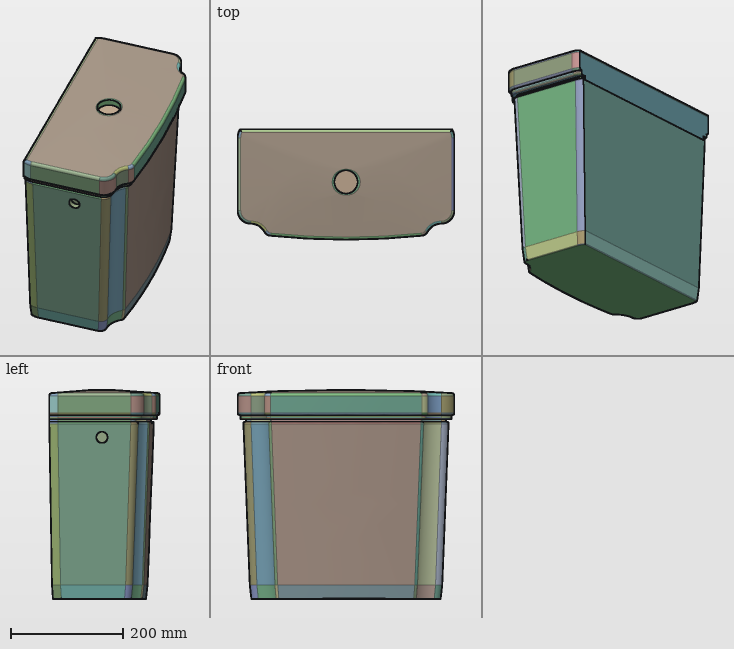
import cadquery as cq
import math


BASE_BAND_TOP = 25.5
BODY_TOP = 315.8
LID_BOTTOM = 320.0
LID_RIM = 367.0
OVERALL_HEIGHT = 372.5

LID_SECTION = {
    "half_width": 193.17, "back": 0.0, "corner": (169.5, 168.5),
    "shoulder": (134.7, 190.0), "shoulder_radius": 14.0, "front": 197.06,
}
BODY_TOP_SECTION = {
    "half_width": 183.0, "back": 0.0, "corner": (169.5, 158.5),
    "shoulder": (133.2, 178.6), "shoulder_radius": 7.0, "front": 186.75,
}
BAND_SECTION = {
    "half_width": 171.6, "back": 4.8, "corner": (159.0, 148.3),
    "shoulder": (122.0, 168.3), "shoulder_radius": 7.0, "front": 175.7,
}
BASE_SECTION = {
    "half_width": 168.6, "back": 6.5, "corner": (156.5, 145.8),
    "shoulder": (119.9, 165.5), "shoulder_radius": 7.0, "front": 172.8,
}

BACK_CORNER_DEPTH = 15.0
BACK_CORNER_WIDTH = 4.5
BACK_EDGE_TOLERANCE = 0.5

BASE_FILLET = 1.5
BODY_TOP_FILLET = 3.2
NECK_INSET = 4.7
LID_TOP_FILLET = 5.3
LID_LIP_HEIGHT = 4.6
LID_LIP_INSET = 5.0
LID_LIP_FILLET = 2.2
LID_SLOPE_HEIGHT = 2.8
LID_UNDERSIDE_FILLET = 4.4
LID_LIP_TOP = LID_BOTTOM + LID_LIP_HEIGHT
LID_WALL_BOTTOM = LID_LIP_TOP + LID_SLOPE_HEIGHT

BUTTON_DEPTH_FROM_BACK = 94.0
BUTTON_RADIUS = 20.7
BUTTON_RING_RADIUS = 25.0
BUTTON_RING_DROP = 0.4
BUTTON_RECESS_DEPTH = 12.0
BUTTON_CUT_CLEARANCE = 1.0

DOME_ABOVE_RING = 0.06
DOME_APEX = OVERALL_HEIGHT + DOME_ABOVE_RING
DOME_POWER = 2.4
DOME_RING_FRACTIONS = (0.35, 0.7)
DOME_RING_POINTS = 8

INLET_RADIUS = 10.0
INLET_DEPTH_FROM_BACK = 94.0
INLET_HEIGHT = 288.0
INLET_CUT_LENGTH = 13.0


def arc_edge(start, end, centre, height):
    """Arc of less than half a turn between two (x, depth) points."""
    radius = math.dist(start, centre)
    toward_x = (start[0] + end[0]) / 2 - centre[0]
    toward_depth = (start[1] + end[1]) / 2 - centre[1]
    scale = radius / math.hypot(toward_x, toward_depth)
    middle = (centre[0] + toward_x * scale, centre[1] + toward_depth * scale)
    return cq.Edge.makeThreePointArc(*[cq.Vector(x, -depth, height) for x, depth in (start, middle, end)])


def line_edge(start, end, height):
    """Straight edge between two (x, depth) points."""
    return cq.Edge.makeLine(*[cq.Vector(x, -depth, height) for x, depth in (start, end)])


def outline(section, height):
    """Closed plan outline of a section, drawn at the given height."""
    half_width = section["half_width"]
    back = section["back"]
    corner = section["corner"]
    shoulder = section["shoulder"]
    shoulder_radius = section["shoulder_radius"]

    back_radius = (BACK_CORNER_DEPTH**2 + BACK_CORNER_WIDTH**2) / (2 * BACK_CORNER_WIDTH)
    back_point = (half_width - BACK_CORNER_WIDTH, back)
    side_start = (half_width, back + BACK_CORNER_DEPTH)
    back_centre = (half_width - back_radius, side_start[1])

    corner_radius = half_width - corner[0]
    side_end = (half_width, corner[1] - corner_radius)
    corner_centre = (corner[0], side_end[1])

    bow = section["front"] - shoulder[1]
    front_radius = (shoulder[0]**2 + bow**2) / (2 * bow)
    front_centre = (0, section["front"] - front_radius)
    inward = shoulder_radius / front_radius
    shoulder_centre = (
        shoulder[0] * (1 - inward),
        shoulder[1] + (front_centre[1] - shoulder[1]) * inward,
    )

    gap_x = corner[0] - shoulder_centre[0]
    gap_depth = corner[1] - shoulder_centre[1]
    hollow_radius = (gap_x**2 + gap_depth**2 - shoulder_radius**2) / (2 * (shoulder_radius - gap_depth))
    hollow_centre = (corner[0], corner[1] + hollow_radius)
    share = shoulder_radius / (shoulder_radius + hollow_radius)
    step = (
        shoulder_centre[0] + (hollow_centre[0] - shoulder_centre[0]) * share,
        shoulder_centre[1] + (hollow_centre[1] - shoulder_centre[1]) * share,
    )

    right_edges = [
        arc_edge(back_point, side_start, back_centre, height),
        line_edge(side_start, side_end, height),
        arc_edge(side_end, corner, corner_centre, height),
        arc_edge(corner, step, hollow_centre, height),
        arc_edge(step, shoulder, shoulder_centre, height),
    ]
    front_edge = arc_edge(shoulder, (-shoulder[0], shoulder[1]), front_centre, height)
    left_edges = [edge.mirror("YZ") for edge in reversed(right_edges)]
    back_edge = line_edge((-back_point[0], back), back_point, height)
    return cq.Wire.assembleEdges(right_edges + [front_edge] + left_edges + [back_edge])


def inset_section(section, inset):
    """The section drawn in on the sides and front, with the back left where it is."""
    corner_x, corner_depth = section["corner"]
    shoulder_x, shoulder_depth = section["shoulder"]
    return {
        "half_width": section["half_width"] - inset,
        "back": section["back"],
        "corner": (corner_x, corner_depth - inset),
        "shoulder": (shoulder_x, shoulder_depth - inset),
        "shoulder_radius": section["shoulder_radius"] - inset,
        "front": section["front"] - inset,
    }


def ruled_solid(sections):
    """Solid with straight walls between (section, height) pairs."""
    wires = [outline(section, height) for section, height in sections]
    return cq.Workplane(cq.Solid.makeLoft(wires, True))


def straight_solid(section, bottom, top):
    """Solid with upright walls."""
    rise = cq.Vector(0, 0, top - bottom)
    return cq.Workplane(cq.Solid.extrudeLinear(outline(section, bottom), [], rise))


def front_and_side_edges(solid, end):
    """Edges of an end face, leaving out the one along the back wall."""
    edges = solid.faces(end).edges()
    return edges.filter(lambda edge: edge.Center().y < -BACK_EDGE_TOLERANCE)


def make_body():
    lower = ruled_solid([(BASE_SECTION, 0), (BAND_SECTION, BASE_BAND_TOP)])
    upper = ruled_solid([(BAND_SECTION, BASE_BAND_TOP), (BODY_TOP_SECTION, BODY_TOP)])
    lower = lower.faces("<Z").edges().fillet(BASE_FILLET)
    upper = front_and_side_edges(upper, ">Z").fillet(BODY_TOP_FILLET)
    return lower.union(upper)


def make_neck():
    section = inset_section(BODY_TOP_SECTION, NECK_INSET)
    start = BODY_TOP - BODY_TOP_FILLET
    return straight_solid(section, start, LID_BOTTOM)


def make_lid_lip():
    """Rounded lip under the lid, with a steep slope up to the wall's lower rounding."""
    lip_section = inset_section(LID_SECTION, LID_LIP_INSET)
    slope_section = inset_section(LID_SECTION, LID_UNDERSIDE_FILLET)
    lip = straight_solid(lip_section, LID_BOTTOM, LID_LIP_TOP)
    lip = front_and_side_edges(lip, "<Z").fillet(LID_LIP_FILLET)
    slope = ruled_solid([(lip_section, LID_LIP_TOP), (slope_section, LID_WALL_BOTTOM)])
    return lip.union(slope)


def make_lid_wall():
    """Lid wall, rounded below along the sides and front and above all round."""
    wall = straight_solid(LID_SECTION, LID_WALL_BOTTOM, LID_RIM)
    wall = front_and_side_edges(wall, "<Z").fillet(LID_UNDERSIDE_FILLET)
    return wall.faces(">Z").edges().fillet(LID_TOP_FILLET)


def dome_guide_points():
    """Points on the dome: its apex and rings that fall away toward the rim."""
    reach_x = LID_SECTION["half_width"] - LID_TOP_FILLET
    reach_y = BUTTON_DEPTH_FROM_BACK - LID_TOP_FILLET
    points = [cq.Vector(0, -BUTTON_DEPTH_FROM_BACK, DOME_APEX)]
    for fraction in DOME_RING_FRACTIONS:
        height = DOME_APEX - (DOME_APEX - LID_RIM) * fraction**DOME_POWER
        for index in range(DOME_RING_POINTS):
            angle = 2 * math.pi * index / DOME_RING_POINTS
            x = fraction * reach_x * math.cos(angle)
            y = fraction * reach_y * math.sin(angle) - BUTTON_DEPTH_FROM_BACK
            points.append(cq.Vector(x, y, height))
    return points


def make_lid():
    """Lip and wall, closed by a shallow dome that springs from the flat rim."""
    wall = make_lid_wall()
    flat_top = wall.faces(">Z").val()
    dome = cq.Face.makeNSidedSurface(flat_top.outerWire().Edges(), dome_guide_points())
    cap = cq.Solid.makeSolid(cq.Shell.makeShell([dome, flat_top]))
    return make_lid_lip().union(wall).union(cq.Workplane(cap))


def make_button_recess():
    """Cylindrical recess with a shallow dished ring around its mouth."""
    floor = OVERALL_HEIGHT - BUTTON_RECESS_DEPTH
    above = OVERALL_HEIGHT + BUTTON_CUT_CLEARANCE
    ring_bottom = OVERALL_HEIGHT - BUTTON_RING_DROP
    profile = (
        cq.Workplane("XZ", origin=(0, -BUTTON_DEPTH_FROM_BACK, 0))
        .moveTo(0, floor)
        .lineTo(BUTTON_RADIUS, floor)
        .lineTo(BUTTON_RADIUS, ring_bottom)
        .lineTo(BUTTON_RING_RADIUS, OVERALL_HEIGHT)
        .lineTo(BUTTON_RING_RADIUS, above)
        .lineTo(0, above)
        .close()
    )
    return profile.revolve(360, (0, 0, 0), (0, 1, 0))


def make_inlet():
    start_x = -BODY_TOP_SECTION["half_width"]
    plane = cq.Workplane("YZ", origin=(start_x, -INLET_DEPTH_FROM_BACK, INLET_HEIGHT))
    return plane.circle(INLET_RADIUS).extrude(INLET_CUT_LENGTH)


result = (
    make_body()
    .union(make_neck())
    .union(make_lid())
    .cut(make_button_recess())
    .cut(make_inlet())
)